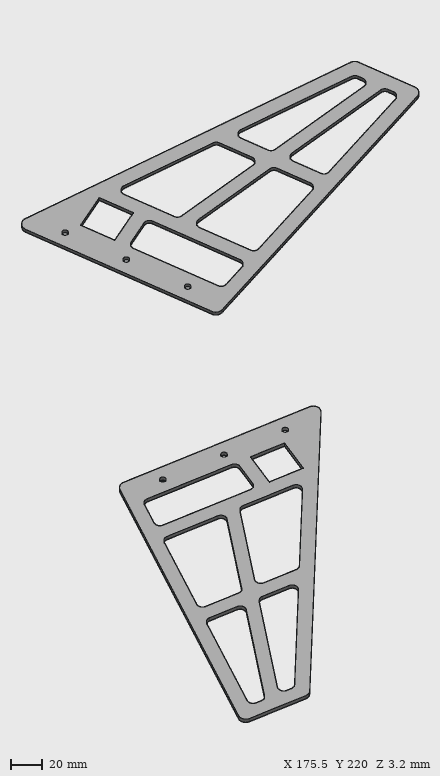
import cadquery as cq
import math

thickness = 3.2
fin_height = 220.0
base_length = 150.0
tip_length = 50.0
leading_sweep = 130.0
plate_corner_radius = 5.0

member_width = 10.0
base_band_height = 20.0
lower_row_height = 25.0
middle_row_height = 65.5
window_corner_radius = 4.0

square_side = 25.0
hole_diameter = 4.2
hole_spacing = 45.0
hole_height = 10.0
hole_count = 3
middle_hole_x = 77.2

lower_bottom = base_band_height
lower_top = lower_bottom + lower_row_height
middle_bottom = lower_top + member_width
middle_top = middle_bottom + middle_row_height
upper_bottom = middle_top + member_width
upper_top = fin_height - member_width

trailing_sweep = leading_sweep + tip_length - base_length


def inner_edge_x(base_x, sweep, y, offset):
    """X at level y on an outer edge line shifted along X by a square offset."""
    slope = sweep / fin_height
    return base_x + slope * y + offset * math.hypot(1.0, slope)


def leading_inner_x(y):
    return inner_edge_x(0.0, leading_sweep, y, member_width)


def trailing_inner_x(y):
    return inner_edge_x(base_length, trailing_sweep, y, -member_width)


def spar_center_x(y):
    """The spar runs midway between the inner edges of the outer members."""
    return (leading_inner_x(y) + trailing_inner_x(y)) / 2


def spar_front_x(y):
    return spar_center_x(y) - member_width / 2


def spar_rear_x(y):
    return spar_center_x(y) + member_width / 2


square_left = leading_inner_x(lower_top)
square_right = square_left + square_side


def window(left_x, right_x, bottom, top):
    """Four-sided cutter between two side lines, with rounded corners."""
    corners = [
        (left_x(bottom), bottom),
        (right_x(bottom), bottom),
        (right_x(top), top),
        (left_x(top), top),
    ]
    cutter = cq.Workplane("XY").polyline(corners).close().extrude(thickness)
    return cutter.edges("|Z").fillet(window_corner_radius)


def plate():
    outline = [
        (0.0, 0.0),
        (base_length, 0.0),
        (leading_sweep + tip_length, fin_height),
        (leading_sweep, fin_height),
    ]
    blank = cq.Workplane("XY").polyline(outline).close().extrude(thickness)
    return blank.edges("|Z").fillet(plate_corner_radius)


def square_opening():
    square = cq.Workplane("XY").rect(square_side, lower_row_height, centered=False)
    return square.extrude(thickness).translate((square_left, lower_bottom, 0))


def lower_window_left_x(y):
    """A plain vertical side, so the same X at every level y."""
    return square_right + member_width


def mounting_holes():
    first_x = middle_hole_x - hole_spacing * (hole_count - 1) / 2
    centers = [(first_x + i * hole_spacing, hole_height) for i in range(hole_count)]
    return cq.Workplane("XY").pushPoints(centers).circle(hole_diameter / 2).extrude(thickness)


result = plate()
result = result.cut(square_opening())
result = result.cut(window(lower_window_left_x, trailing_inner_x, lower_bottom, lower_top))
for left_x, right_x in ((leading_inner_x, spar_front_x), (spar_rear_x, trailing_inner_x)):
    result = result.cut(window(left_x, right_x, middle_bottom, middle_top))
    result = result.cut(window(left_x, right_x, upper_bottom, upper_top))
result = result.cut(mounting_holes())